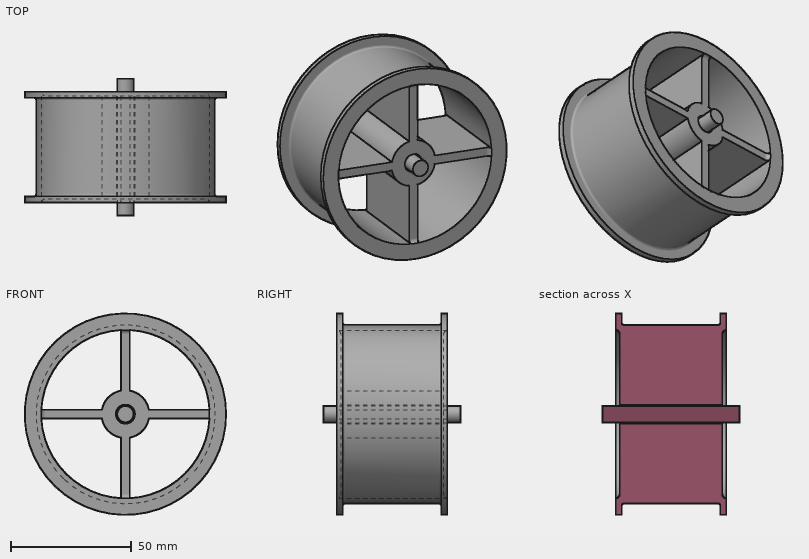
import cadquery as cq
import math

flange_diameter = 83.9
drum_diameter = 74.4
bore_diameter = 69.95
wheel_width = 46.1
flange_thickness = 2.6
flange_fillet = 0.9

hub_diameter = 20.0
hub_bore_diameter = 7.8
spoke_count = 4
spoke_thickness = 3.8
web_recess = 1.7
web_fillet = web_recess

axle_diameter = 7.0
axle_length = 57.0

flange_radius = flange_diameter / 2
drum_radius = drum_diameter / 2
bore_radius = bore_diameter / 2
half_width = wheel_width / 2
web_half_width = half_width - web_recess
rim_overlap = (drum_radius - bore_radius) / 2

ARC_MIDDLE = math.sqrt(0.5)


def revolve_about_y(profile):
    return profile.revolve(360, (0, 0, 0), (0, 1, 0))


def cylinder_along_y(diameter, length):
    return cq.Workplane("XZ").circle(diameter / 2).extrude(length / 2, both=True)


def make_rim():
    """Drum wall with a flange at each end and fillets in the outer corners."""
    flange_inner_y = half_width - flange_thickness
    fillet_end_y = flange_inner_y - flange_fillet
    fillet_end_radius = drum_radius + flange_fillet
    middle_radius = fillet_end_radius - flange_fillet * ARC_MIDDLE
    middle_y = fillet_end_y + flange_fillet * ARC_MIDDLE
    profile = (
        cq.Workplane("XY")
        .moveTo(bore_radius, -half_width)
        .lineTo(flange_radius, -half_width)
        .lineTo(flange_radius, -flange_inner_y)
        .lineTo(fillet_end_radius, -flange_inner_y)
        .threePointArc((middle_radius, -middle_y), (drum_radius, -fillet_end_y))
        .lineTo(drum_radius, fillet_end_y)
        .threePointArc((middle_radius, middle_y), (fillet_end_radius, flange_inner_y))
        .lineTo(flange_radius, flange_inner_y)
        .lineTo(flange_radius, half_width)
        .lineTo(bore_radius, half_width)
        .close()
    )
    return revolve_about_y(profile)


def make_web_envelope():
    """Round space the spokes fill: recessed faces, filleted up to the drum bore."""
    fillet_start_radius = bore_radius - web_fillet
    middle_radius = fillet_start_radius + web_fillet * ARC_MIDDLE
    middle_y = half_width - web_fillet * ARC_MIDDLE
    outer_radius = bore_radius + rim_overlap
    profile = (
        cq.Workplane("XY")
        .moveTo(0, -web_half_width)
        .lineTo(fillet_start_radius, -web_half_width)
        .threePointArc((middle_radius, -middle_y), (bore_radius, -half_width))
        .lineTo(outer_radius, -half_width)
        .lineTo(outer_radius, half_width)
        .lineTo(bore_radius, half_width)
        .threePointArc((middle_radius, middle_y), (fillet_start_radius, web_half_width))
        .lineTo(0, web_half_width)
        .close()
    )
    return revolve_about_y(profile)


def make_spokes():
    spoke_bar = cq.Workplane("XY").box(
        flange_radius, wheel_width, spoke_thickness, centered=(False, True, True)
    )
    bars = spoke_bar
    for index in range(1, spoke_count):
        angle = index * 360 / spoke_count
        bars = bars.union(spoke_bar.rotate((0, 0, 0), (0, 1, 0), angle))
    return make_web_envelope().intersect(bars)


def make_wheel():
    hub = cylinder_along_y(hub_diameter, 2 * web_half_width)
    hub_bore = cylinder_along_y(hub_bore_diameter, wheel_width)
    return make_rim().union(make_spokes()).union(hub).cut(hub_bore)


def make_axle():
    return cylinder_along_y(axle_diameter, axle_length)


wheel = make_wheel()
axle = make_axle()
result = cq.Compound.makeCompound([wheel.solids().val(), axle.val()])